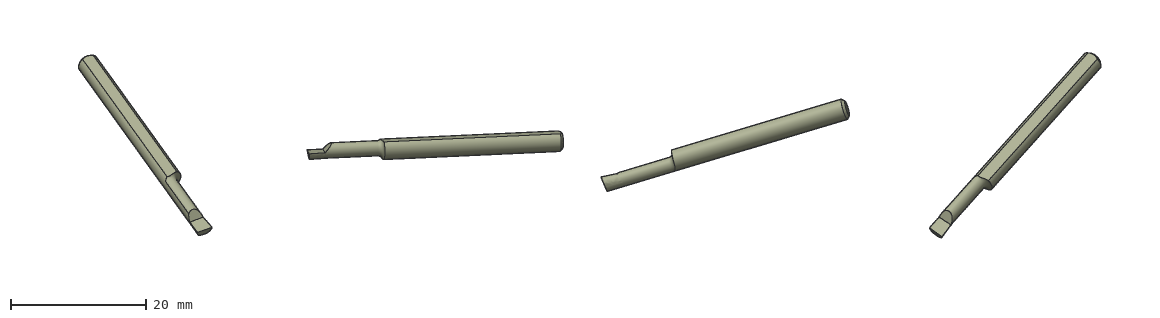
import cadquery as cq

overall_length = 38.1
shank_radius = 1.58
flat_height = 1.315
end_chamfer = 0.42

neck_radius = 1.15
neck_offset = -0.57
neck_start = 27.62
shoulder_radius = 0.75
shank_end = neck_start - shoulder_radius

ramp_foot = 35.65
flare_start = 35.05
head_flare = 0.25
tip_side = neck_offset + neck_radius + head_flare
front_angle = 2.5
clearance_angle = 9.0
cut_margin = 3.8


def chamfered_bar():
    bar = cq.Workplane("YZ").circle(shank_radius).extrude(overall_length)
    return bar.faces("<X").chamfer(end_chamfer)


def neck_envelope():
    """Shank space, concave shoulder and offset neck, as a revolved outline."""
    outer_radius = shank_radius + cut_margin
    blend_center = neck_radius + shoulder_radius
    half_chord = shoulder_radius * 0.5 ** 0.5
    return (
        cq.Workplane("XY")
        .moveTo(0, 0)
        .lineTo(0, outer_radius)
        .lineTo(shank_end, outer_radius)
        .lineTo(shank_end, blend_center)
        .threePointArc((neck_start - half_chord, blend_center - half_chord), (neck_start, neck_radius))
        .lineTo(overall_length, neck_radius)
        .lineTo(overall_length, 0)
        .close()
        .revolve(360, (0, 0, 0), (1, 0, 0))
        .translate((0, neck_offset, 0))
    )


def flared_head():
    """Neck section drifting sideways towards the tip."""
    return (
        cq.Workplane("YZ", origin=(flare_start, 0, 0))
        .center(neck_offset, 0)
        .circle(neck_radius)
        .workplane(offset=overall_length - flare_start)
        .center(head_flare, 0)
        .circle(neck_radius)
        .loft(ruled=True)
    )


def locating_flat():
    side = 2 * (shank_radius + cut_margin)
    return (
        cq.Workplane("XY", origin=(0, 0, flat_height))
        .rect(2 * overall_length, side)
        .extrude(cut_margin)
    )


def rake_notch():
    """Removes the upper half of the head behind a 45 degree ramp."""
    return (
        cq.Workplane("XZ")
        .moveTo(ramp_foot, 0)
        .lineTo(overall_length + cut_margin, 0)
        .lineTo(overall_length + cut_margin, cut_margin)
        .lineTo(ramp_foot - cut_margin, cut_margin)
        .close()
        .extrude(cut_margin, both=True)
    )


def end_relief():
    """Tilted block whose near face passes through the cutting corner."""
    corner = (overall_length, tip_side, 0)
    block = cq.Workplane("XY").box(
        cut_margin, 4 * cut_margin, 4 * cut_margin, centered=(False, True, True)
    )
    block = block.rotate((0, 0, 0), (0, 1, 0), clearance_angle)
    block = block.rotate((0, 0, 0), (0, 0, 1), -front_angle)
    return block.translate(corner)


result = (
    chamfered_bar()
    .intersect(neck_envelope().union(flared_head()))
    .cut(locating_flat())
    .cut(rake_notch())
    .cut(end_relief())
)